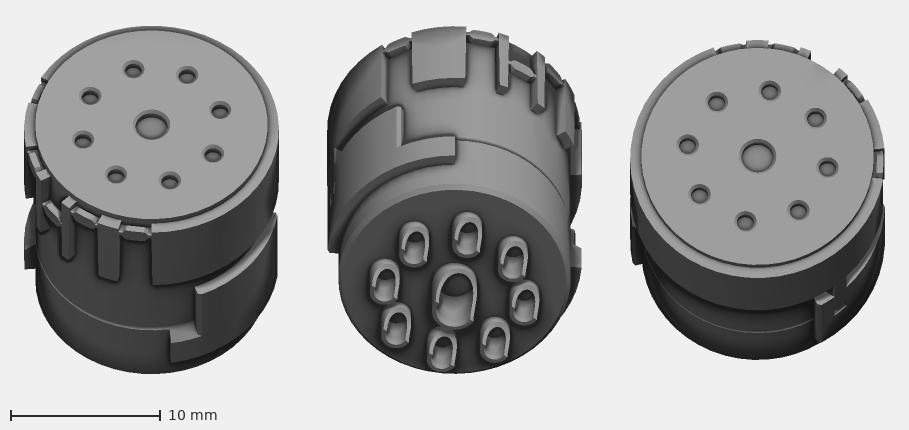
import cadquery as cq
import math

BODY_RADIUS = 7.75
BODY_HEIGHT = 18.0
BODY_EDGE_CHAMFER = 0.3
OUTER_RADIUS = 8.5
CUT_MARGIN = 1.0
FUSE_OVERLAP = 0.5
CORE_RADIUS = BODY_RADIUS - FUSE_OVERLAP

GROOVE_ROOT_RADIUS = 7.5
GROOVE_TOP_Z = 5.65
GROOVE_ROOT_Z = 5.49
GROOVE_RIM_Z = 5.3

COLLAR_BOTTOM_Z = 11.5
COLLAR_TOP_Z = 17.5
SLOT_ANGLES = (-150, -110, -90, -70, -45)
SLOT_HALF_ANGLE_TOP = 7.5
SLOT_HALF_ANGLE_BOTTOM = 8.0

KEY_WIDTH = 1.7
KEY_HEIGHT = 1.0
KEY_CORNER = 0.24
KEY_BACK = 7.95
KEY_FACE_RADIUS = 8.4
KEY_WEB_HEIGHT = 0.33
KEY_DROP = 0.64
LOW_KEY_DROP = 2.85
LOW_KEY_ANGLE = -90

BLOCK_BOTTOM_Z = 2.5
BLOCK_TOP_Z = 9.5
BLOCK_SPAN = 60.8
LEFT_BLOCK_END = -148.2
LEFT_FOOT_END = -122.5
RIGHT_BLOCK_END = -15.7
RIGHT_FOOT_END = -28.5
BLOCK_CHAMFER_DEPTH = 0.15
BLOCK_CHAMFER_ANGLE = 1.6

TONGUE_Y = 2.46
TONGUE_WIDTH = 0.96
TONGUE_TIP_WIDTH = 0.55
TONGUE_SHOULDER_Z = 7.55
TONGUE_TIP_Z = 6.48
TONGUE_CLEARANCE = 0.03
TONGUE_SLOT_BOTTOM_Z = 6.0

CONTACT_COUNT = 8
CONTACT_CIRCLE_RADIUS = 4.73
CONTACT_FIRST_ANGLE = 180 / CONTACT_COUNT
HOLE_RADIUS = 0.57
CENTRE_HOLE_RADIUS = 1.07
HOLE_COUNTERSINK = 0.18
HOLE_DEPTH = 0.65

PIN_RADIUS = 1.0
PIN_LENGTH = 2.5
PIN_CUP_RADIUS = 0.73
PIN_SCOOP_RADIUS = 2.5
CENTRE_PIN_RADIUS = 1.5
CENTRE_PIN_LENGTH = 3.5
CENTRE_PIN_CUP_RADIUS = 1.25
CENTRE_PIN_SCOOP_RADIUS = 3.7


def polar(radius, angle):
    """XY point at an angle in degrees."""
    return (radius * math.cos(math.radians(angle)), radius * math.sin(math.radians(angle)))


def cylinder(radius, bottom_z, top_z, x=0, y=0):
    return cq.Workplane("XY", origin=(x, y, bottom_z)).circle(radius).extrude(top_z - bottom_z)


def box(x_range, y_range, z_range):
    size = [high - low for low, high in (x_range, y_range, z_range)]
    return cq.Workplane("XY").box(*size, centered=False).translate((x_range[0], y_range[0], z_range[0]))


def ring_sector(start, end, bottom_z, top_z):
    """Part of a ring from inside the body out to the outer radius."""
    middle = (start + end) / 2
    return (
        cq.Workplane("XY", origin=(0, 0, bottom_z))
        .moveTo(*polar(CORE_RADIUS, start))
        .lineTo(*polar(OUTER_RADIUS, start))
        .threePointArc(polar(OUTER_RADIUS, middle), polar(OUTER_RADIUS, end))
        .lineTo(*polar(CORE_RADIUS, end))
        .threePointArc(polar(CORE_RADIUS, middle), polar(CORE_RADIUS, start))
        .close()
        .extrude(top_z - bottom_z)
    )


def make_body():
    return cylinder(BODY_RADIUS, 0, BODY_HEIGHT).faces("<Z").chamfer(BODY_EDGE_CHAMFER)


def groove_cut():
    """Ring above the conical flank, reaching past the bayonet feet."""
    reach = OUTER_RADIUS + CUT_MARGIN
    slope = (GROOVE_ROOT_Z - GROOVE_RIM_Z) / (BODY_RADIUS - GROOVE_ROOT_RADIUS)
    reach_z = GROOVE_ROOT_Z - slope * (reach - GROOVE_ROOT_RADIUS)
    profile = [
        (GROOVE_ROOT_RADIUS, GROOVE_ROOT_Z),
        (reach, reach_z),
        (reach, GROOVE_TOP_Z),
        (BODY_RADIUS, GROOVE_TOP_Z),
    ]
    return cq.Workplane("XZ").polyline(profile).close().revolve(360, (0, 0, 0), (0, 1, 0))


def slot_cut(angle):
    """Wedge through the collar that widens slightly downwards."""
    reach = OUTER_RADIUS + CUT_MARGIN
    length = reach / math.cos(math.radians(SLOT_HALF_ANGLE_BOTTOM))

    def wedge(half_angle):
        return [(0, 0), polar(length, angle - half_angle), polar(length, angle + half_angle)]

    return (
        cq.Workplane("XY", origin=(0, 0, COLLAR_BOTTOM_Z))
        .polyline(wedge(SLOT_HALF_ANGLE_BOTTOM)).close()
        .workplane(offset=COLLAR_TOP_Z - COLLAR_BOTTOM_Z)
        .polyline(wedge(SLOT_HALF_ANGLE_TOP)).close()
        .loft(ruled=True)
    )


def make_collar():
    collar = cylinder(OUTER_RADIUS, COLLAR_BOTTOM_Z, COLLAR_TOP_Z)
    for angle in SLOT_ANGLES:
        collar = collar.cut(slot_cut(angle))
    return collar


def make_key(angle):
    """Octagonal key on a thin web that bridges the slot and joins the body."""
    centre_z = COLLAR_TOP_Z - (LOW_KEY_DROP if angle == LOW_KEY_ANGLE else KEY_DROP)
    octagon = (
        cq.Workplane("YZ", origin=(KEY_BACK, 0, centre_z))
        .rect(KEY_WIDTH, KEY_HEIGHT)
        .extrude(OUTER_RADIUS - KEY_BACK)
        .edges("|X")
        .chamfer(KEY_CORNER)
        .rotate((0, 0, 0), (0, 0, 1), angle)
    )
    web = ring_sector(
        angle - SLOT_HALF_ANGLE_BOTTOM,
        angle + SLOT_HALF_ANGLE_BOTTOM,
        centre_z - KEY_WEB_HEIGHT / 2,
        centre_z + KEY_WEB_HEIGHT / 2,
    )
    return web.union(octagon).intersect(cylinder(KEY_FACE_RADIUS, COLLAR_BOTTOM_Z, COLLAR_TOP_Z))


def corner_cut(end, direction):
    """Wedge that bevels the outer vertical corner of a block end."""
    inset = end - direction * BLOCK_CHAMFER_ANGLE
    outset = end + direction * BLOCK_CHAMFER_ANGLE
    bevel_radius = OUTER_RADIUS - BLOCK_CHAMFER_DEPTH
    corners = [
        polar(OUTER_RADIUS, inset),
        polar(bevel_radius, end),
        polar(OUTER_RADIUS, outset),
        polar(OUTER_RADIUS + BLOCK_CHAMFER_DEPTH, end),
    ]
    height = BLOCK_TOP_Z - BLOCK_BOTTOM_Z
    return cq.Workplane("XY", origin=(0, 0, BLOCK_BOTTOM_Z)).polyline(corners).close().extrude(height)


def make_block(end, foot_end):
    """Tall block with bevelled ends and a low foot on the end nearest -Y."""
    direction = math.copysign(1, foot_end - end)
    far_end = end - direction * BLOCK_SPAN
    block = ring_sector(end, far_end, BLOCK_BOTTOM_Z, BLOCK_TOP_Z)
    block = block.cut(corner_cut(end, direction))
    block = block.cut(corner_cut(far_end, -direction))
    foot = ring_sector(end - direction * BLOCK_CHAMFER_ANGLE, foot_end, BLOCK_BOTTOM_Z, GROOVE_TOP_Z)
    return block.union(foot.cut(groove_cut()))


def tongue_slot_cut():
    half_width = TONGUE_WIDTH / 2 + TONGUE_CLEARANCE
    return box(
        (-OUTER_RADIUS, 0),
        (TONGUE_Y - half_width, TONGUE_Y + half_width),
        (TONGUE_SLOT_BOTTOM_Z, BLOCK_TOP_Z),
    )


def make_tongue():
    half_width = TONGUE_WIDTH / 2
    half_tip = TONGUE_TIP_WIDTH / 2
    outline = [
        (TONGUE_Y - half_width, COLLAR_BOTTOM_Z),
        (TONGUE_Y - half_width, TONGUE_SHOULDER_Z),
        (TONGUE_Y - half_tip, TONGUE_TIP_Z),
        (TONGUE_Y + half_tip, TONGUE_TIP_Z),
        (TONGUE_Y + half_width, TONGUE_SHOULDER_Z),
        (TONGUE_Y + half_width, COLLAR_BOTTOM_Z),
    ]
    strip = cq.Workplane("YZ").polyline(outline).close().extrude(-OUTER_RADIUS)
    return strip.intersect(cylinder(OUTER_RADIUS, 0, COLLAR_BOTTOM_Z))


def make_pin(x, y, radius, length, cup_radius, scoop_radius):
    """Solder cup pin below the body, scooped open on its -Y half."""
    pin = cylinder(radius, -length, 0, x, y)
    pin = pin.cut(cylinder(cup_radius, -length, 0, x, y))
    scoop = (
        cq.Workplane("YZ", origin=(x, y, 0))
        .center(-scoop_radius, -length)
        .circle(scoop_radius)
        .extrude(2 * radius, both=True)
    )
    return pin.cut(scoop)


def contact_hole_cut(x, y, radius):
    """Blind hole in the top face with a 45 degree countersink."""
    mouth_radius = radius + HOLE_COUNTERSINK
    profile = [
        (0, BODY_HEIGHT),
        (mouth_radius, BODY_HEIGHT),
        (radius, BODY_HEIGHT - HOLE_COUNTERSINK),
        (radius, BODY_HEIGHT - HOLE_DEPTH),
        (0, BODY_HEIGHT - HOLE_DEPTH),
    ]
    hole = cq.Workplane("XZ").polyline(profile).close().revolve(360, (0, 0, 0), (0, 1, 0))
    return hole.translate((x, y, 0))


left_block = make_block(LEFT_BLOCK_END, LEFT_FOOT_END)
right_block = make_block(RIGHT_BLOCK_END, RIGHT_FOOT_END)

result = make_body().cut(groove_cut())
result = result.union(left_block.cut(tongue_slot_cut())).union(right_block)
result = result.union(make_collar()).union(make_tongue())
for slot_angle in SLOT_ANGLES:
    result = result.union(make_key(slot_angle))

result = result.union(
    make_pin(0, 0, CENTRE_PIN_RADIUS, CENTRE_PIN_LENGTH, CENTRE_PIN_CUP_RADIUS, CENTRE_PIN_SCOOP_RADIUS)
)
result = result.cut(contact_hole_cut(0, 0, CENTRE_HOLE_RADIUS))
for index in range(CONTACT_COUNT):
    contact_angle = CONTACT_FIRST_ANGLE + index * 360 / CONTACT_COUNT
    contact_x, contact_y = polar(CONTACT_CIRCLE_RADIUS, contact_angle)
    result = result.union(
        make_pin(contact_x, contact_y, PIN_RADIUS, PIN_LENGTH, PIN_CUP_RADIUS, PIN_SCOOP_RADIUS)
    )
    result = result.cut(contact_hole_cut(contact_x, contact_y, HOLE_RADIUS))